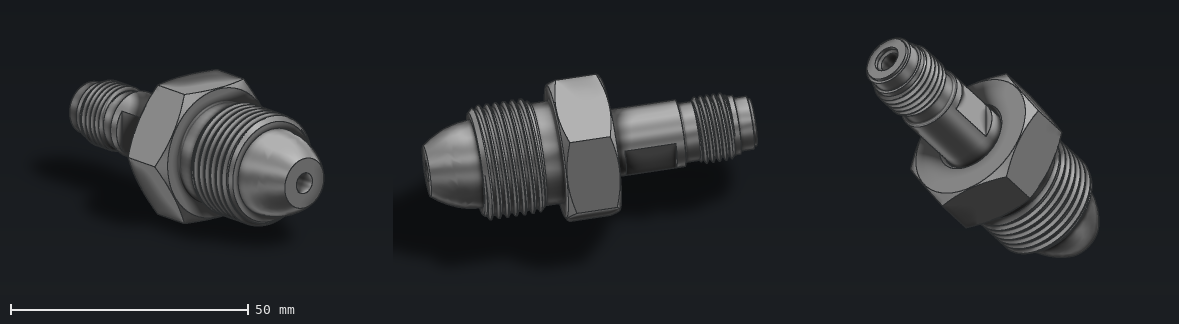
import cadquery as cq
import math

LENGTH = 69.85

THREAD_FLANK_ANGLE = 30.0
THREAD_SLOPE = math.tan(math.radians(THREAD_FLANK_ANGLE))
RIDGE_ROOT_OVERLAP = 0.1
CREST_FRACTION = 1 / 8
CREST_CLEARANCE = 0.15

HEX_START = 30.7
HEX_LENGTH = 11.4
HEX_FLATS = 28.6
HEX_FACE_RADIUS = 14.1
HEX_CHAMFER_ANGLE = 30.0
NUT_END = 59.4
NUT_NECK_RADIUS = 10.9
NUT_THREAD_START = 46.1
NUT_THREAD_PITCH = 1.8
NUT_CORE_RADIUS = 11.3
NUT_CREST_RADIUS = 12.15
NUT_FIRST_TURN = 45.0
NUT_BORE_RADIUS = 7.3
NUT_MOUTH_RADIUS = 8.0
ROOT_FILLET = 0.4

STEM_RADIUS = 7.1
STEM_START = 15.65
TIP_RADIUS = 5.0
TIP_LENGTH = 0.7
PILOT_RADIUS = 5.65
PILOT_END = 3.6
STUB_RADIUS = 6.3
STUB_THREAD_START = 4.8
STUB_THREAD_END = 12.4
STUB_THREAD_PITCH = 1.4
STUB_FIRST_TURN = 3.8
FLAT_START = 17.5
FLAT_LENGTH = 10.9
FLAT_DISTANCE = 5.6
NOSE_BASE_RADIUS = 9.4
NOSE_END_RADIUS = 5.45
NOSE_ARC_RADIUS = 17.45
BORE_RADIUS = 2.25
COUNTERBORE_RADIUS = 2.9
COUNTERBORE_DEPTH = 0.85
COUNTERBORE_FLOOR_ANGLE = 30.0

HEX_END = HEX_START + HEX_LENGTH
HEX_CORNERS = HEX_FLATS / math.cos(math.pi / 6)


def revolved(profile):
    """Turn a closed profile, drawn as X against radius, about the X axis."""
    return profile.close().revolve(360, (0, 0, 0), (1, 0, 0))


def cylinder(start, end, radius):
    return cq.Workplane("YZ", origin=(start, 0, 0)).circle(radius).extrude(end - start)


def cone(start, end, start_radius, end_radius):
    profile = cq.Workplane("XY").moveTo(start, 0).lineTo(start, start_radius)
    return revolved(profile.lineTo(end, end_radius).lineTo(end, 0))


def thread_envelope(start, end, end_radius, crest_radius):
    """Space for a thread: clear of its crests, with 45 degree chamfers down to the end radius."""
    outer_radius = crest_radius + CREST_CLEARANCE
    chamfer = outer_radius - end_radius
    return revolved(
        cq.Workplane("XY")
        .moveTo(start, 0)
        .lineTo(start, end_radius)
        .lineTo(start + chamfer, outer_radius)
        .lineTo(end - chamfer, outer_radius)
        .lineTo(end, end_radius)
        .lineTo(end, 0)
    )


def thread_ridge(first_turn, end, pitch, core_radius, crest_radius):
    """Right-hand helical ridge from its first turn to just past the end."""
    turns = math.ceil((end - first_turn) / pitch) + 1
    base_radius = core_radius - RIDGE_ROOT_OVERLAP
    half_crest = pitch * CREST_FRACTION / 2
    half_base = half_crest + (crest_radius - base_radius) * THREAD_SLOPE
    helix = cq.Wire.makeHelix(pitch, turns * pitch, base_radius)
    ridge = (
        cq.Workplane("XZ")
        .polyline([
            (base_radius, -half_base),
            (crest_radius, -half_crest),
            (crest_radius, half_crest),
            (base_radius, half_base),
        ])
        .close()
        .sweep(cq.Workplane(helix), isFrenet=True)
    )
    return ridge.rotate((0, 0, 0), (0, 1, 0), 90).translate((first_turn, 0, 0))


def threaded_rod(first_turn, start, end, pitch, core_radius, crest_radius, end_radius):
    """Solid threaded length, its ridge and core trimmed to the chamfered envelope."""
    overrun = 3 * pitch
    core = cylinder(first_turn - overrun, end + overrun, core_radius)
    ridge = thread_ridge(first_turn, end, pitch, core_radius, crest_radius)
    return core.union(ridge).intersect(thread_envelope(start, end, end_radius, crest_radius))


def hexagon():
    """Hexagon with flats facing +Z and -Z and its corners chamfered at both ends."""
    prism = cq.Workplane("YZ", origin=(HEX_START, 0, 0)).polygon(6, HEX_CORNERS).extrude(HEX_LENGTH)
    corner_radius = HEX_CORNERS / 2
    chamfer = (corner_radius - HEX_FACE_RADIUS) * math.tan(math.radians(HEX_CHAMFER_ANGLE))
    corner_limit = revolved(
        cq.Workplane("XY")
        .moveTo(HEX_START, 0)
        .lineTo(HEX_START, HEX_FACE_RADIUS)
        .lineTo(HEX_START + chamfer, corner_radius)
        .lineTo(HEX_END - chamfer, corner_radius)
        .lineTo(HEX_END, HEX_FACE_RADIUS)
        .lineTo(HEX_END, 0)
    )
    return prism.intersect(corner_limit)


def nut_neck():
    """Plain neck behind the thread, with a fillet where it meets the hexagon."""
    return revolved(
        cq.Workplane("XY")
        .moveTo(HEX_END, 0)
        .lineTo(HEX_END, NUT_NECK_RADIUS + ROOT_FILLET)
        .radiusArc((HEX_END + ROOT_FILLET, NUT_NECK_RADIUS), -ROOT_FILLET)
        .lineTo(NUT_THREAD_START, NUT_NECK_RADIUS)
        .lineTo(NUT_THREAD_START, 0)
    )


def nut_thread():
    return threaded_rod(
        NUT_FIRST_TURN,
        NUT_THREAD_START,
        NUT_END,
        NUT_THREAD_PITCH,
        NUT_CORE_RADIUS,
        NUT_CREST_RADIUS,
        NUT_NECK_RADIUS,
    )


def make_nut():
    mouth_depth = NUT_MOUTH_RADIUS - NUT_BORE_RADIUS
    mouth = cone(HEX_START, HEX_START + mouth_depth, NUT_MOUTH_RADIUS, NUT_BORE_RADIUS)
    stem_hole = cylinder(HEX_START, NUT_END, NUT_BORE_RADIUS)
    return hexagon().union(nut_neck()).union(nut_thread()).cut(stem_hole).cut(mouth)


def nipple_blank():
    """Stepped stem and bullet nose."""
    return revolved(
        cq.Workplane("XY")
        .lineTo(0, TIP_RADIUS)
        .lineTo(TIP_LENGTH, TIP_RADIUS)
        .lineTo(TIP_LENGTH, PILOT_RADIUS)
        .lineTo(PILOT_END, PILOT_RADIUS)
        .lineTo(PILOT_END, STUB_RADIUS)
        .lineTo(STEM_START - ROOT_FILLET, STUB_RADIUS)
        .radiusArc((STEM_START, STUB_RADIUS + ROOT_FILLET), -ROOT_FILLET)
        .lineTo(STEM_START, STEM_RADIUS)
        .lineTo(NUT_END, STEM_RADIUS)
        .lineTo(NUT_END, NOSE_BASE_RADIUS)
        .radiusArc((LENGTH, NOSE_END_RADIUS), NOSE_ARC_RADIUS)
        .lineTo(LENGTH, 0)
    )


def stub_thread():
    return threaded_rod(
        STUB_FIRST_TURN,
        STUB_THREAD_START,
        STUB_THREAD_END,
        STUB_THREAD_PITCH,
        STUB_RADIUS,
        STEM_RADIUS,
        STUB_RADIUS,
    )


def wrench_flats():
    """The two slabs to remove, one on each Y side of the stem."""
    depth = STEM_RADIUS - FLAT_DISTANCE
    middle_x = FLAT_START + FLAT_LENGTH / 2
    middle_y = FLAT_DISTANCE + depth / 2
    return (
        cq.Workplane("XY")
        .pushPoints([(middle_x, side * middle_y) for side in (-1, 1)])
        .box(FLAT_LENGTH, depth, 2 * STEM_RADIUS)
    )


def nipple_bore():
    """Through bore with a counterbore at the tip, which ends in a conical floor."""
    floor_depth = (COUNTERBORE_RADIUS - BORE_RADIUS) * math.tan(math.radians(COUNTERBORE_FLOOR_ANGLE))
    return revolved(
        cq.Workplane("XY")
        .lineTo(0, COUNTERBORE_RADIUS)
        .lineTo(COUNTERBORE_DEPTH, COUNTERBORE_RADIUS)
        .lineTo(COUNTERBORE_DEPTH + floor_depth, BORE_RADIUS)
        .lineTo(LENGTH, BORE_RADIUS)
        .lineTo(LENGTH, 0)
    )


def make_nipple():
    return nipple_blank().union(stub_thread()).cut(wrench_flats()).cut(nipple_bore())


nut = make_nut()
nipple = make_nipple()

result = cq.Compound.makeCompound([nut.solids().val(), nipple.solids().val()])